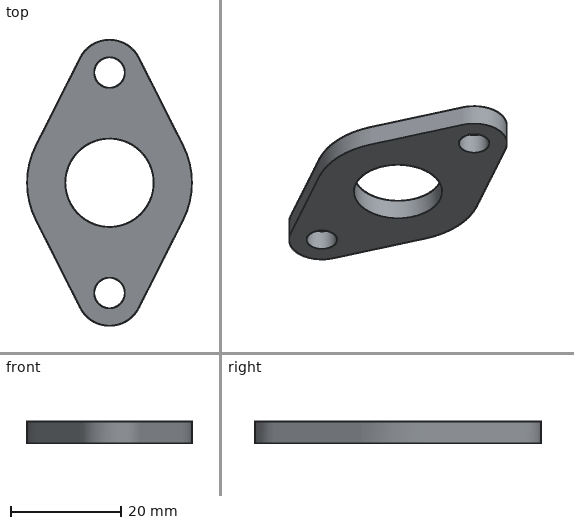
import cadquery as cq
import math

length = 51.95
width = 30.0
thickness = 4.0

end_radius = 6.0
bore_diameter = 16.0
bolt_hole_diameter = 5.5

middle_radius = width / 2
bolt_offset = length / 2 - end_radius

flank_angle = math.asin((middle_radius - end_radius) / bolt_offset)
normal_x = math.cos(flank_angle)
normal_y = math.sin(flank_angle)
middle_x = middle_radius * normal_x
middle_y = middle_radius * normal_y
end_x = end_radius * normal_x
end_y = bolt_offset + end_radius * normal_y


def make_plate():
    """Diamond-shaped plate with rounded corners, its bottom on Z = 0."""
    return (
        cq.Workplane("XY")
        .moveTo(middle_x, -middle_y)
        .threePointArc((middle_radius, 0), (middle_x, middle_y))
        .lineTo(end_x, end_y)
        .threePointArc((0, length / 2), (-end_x, end_y))
        .lineTo(-middle_x, middle_y)
        .threePointArc((-middle_radius, 0), (-middle_x, -middle_y))
        .lineTo(-end_x, -end_y)
        .threePointArc((0, -length / 2), (end_x, -end_y))
        .close()
        .extrude(thickness)
    )


def cut_holes(plate):
    """Central bore and a bolt hole at each end, all through the plate."""
    bored = plate.faces(">Z").workplane(origin=(0, 0, thickness)).hole(bore_diameter)
    return (
        bored.faces(">Z")
        .workplane(origin=(0, 0, thickness))
        .pushPoints([(0, bolt_offset), (0, -bolt_offset)])
        .hole(bolt_hole_diameter)
    )


result = cut_holes(make_plate())